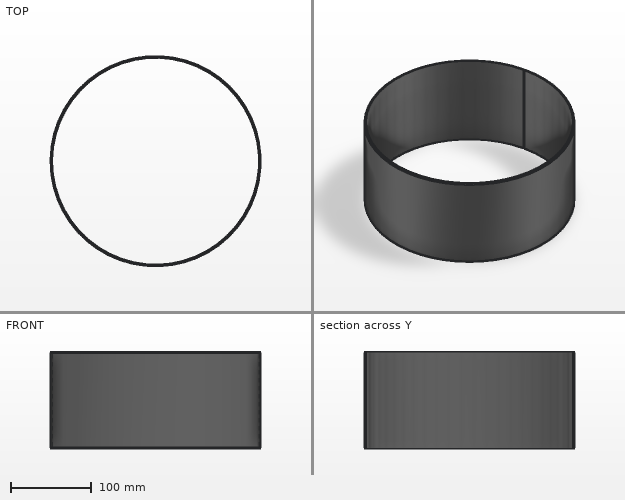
import cadquery as cq

outer_diameter = 260.0
height = 120.0
wall = 2.3
chamfer_height = 1.8
chamfer_width = 0.8
gap_width = 2.0

outer_radius = outer_diameter / 2
inner_radius = outer_radius - wall
rim_radius = outer_radius - chamfer_width
half_height = height / 2
shoulder = half_height - chamfer_height

wall_section = cq.Workplane("XZ").polyline([
    (inner_radius, -half_height),
    (rim_radius, -half_height),
    (outer_radius, -shoulder),
    (outer_radius, shoulder),
    (rim_radius, half_height),
    (inner_radius, half_height),
]).close()

ring = wall_section.revolve(360, (0, 0), (0, 1)).rotate((0, 0, 0), (0, 0, 1), 180)

split_cutter = (
    cq.Workplane("XY")
    .box(outer_radius, gap_width, height)
    .translate((-outer_radius, gap_width / 2, 0))
)

result = ring.cut(split_cutter)